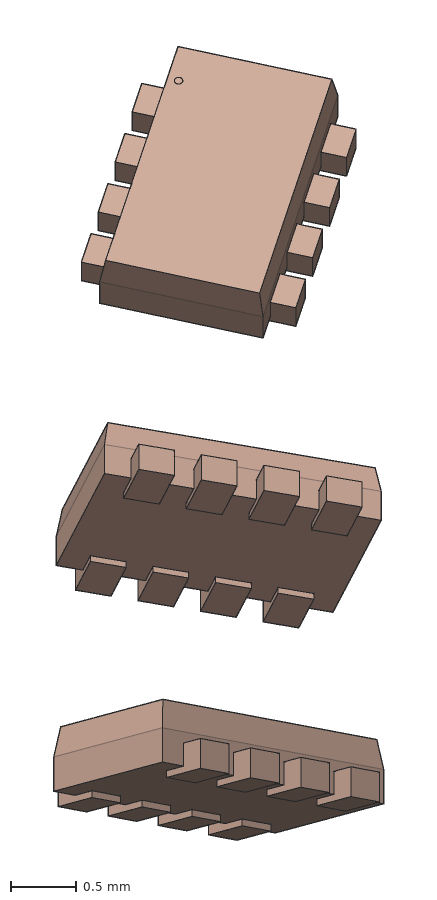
import cadquery as cq

overall_width = 1.7
overall_height = 0.56

housing_width = 1.295
housing_length = 2.21
housing_bottom = 0.053
taper_start = 0.323
taper_inset = 0.038

lead_length = 0.405
lead_width = 0.285
lead_height = 0.235
lead_pitch = 0.5
leads_per_side = 4

marker_diameter = 0.065
marker_depth = 0.01
marker_x = -0.52

first_lead_y = lead_pitch * (leads_per_side - 1) / 2
lead_center_x = (overall_width - lead_length) / 2


def make_lead(side, index):
    """One lead; side is -1 or +1 along X, index counts from the +Y end."""
    lead_y = first_lead_y - index * lead_pitch
    return (
        cq.Workplane("XY")
        .box(lead_length, lead_width, lead_height, centered=(True, True, False))
        .translate((side * lead_center_x, lead_y, 0))
    )


def make_marker():
    """Flush marker disc in the top face."""
    return (
        cq.Workplane("XY", origin=(marker_x, first_lead_y, overall_height - marker_depth))
        .circle(marker_diameter / 2)
        .extrude(marker_depth)
    )


def make_housing(inserts):
    """Moulded housing with a matching recess for every inserted body."""
    lower_block = (
        cq.Workplane("XY", origin=(0, 0, housing_bottom))
        .rect(housing_width, housing_length)
        .extrude(taper_start - housing_bottom)
    )
    tapered_top = (
        cq.Workplane("XY", origin=(0, 0, taper_start))
        .rect(housing_width, housing_length)
        .workplane(offset=overall_height - taper_start)
        .rect(housing_width - 2 * taper_inset, housing_length - 2 * taper_inset)
        .loft(ruled=True)
    )
    housing = lower_block.union(tapered_top)
    for insert in inserts:
        housing = housing.cut(insert)
    return housing.solids()


leads = [make_lead(side, index) for side in (-1, 1) for index in range(leads_per_side)]
marker = make_marker()
housing = make_housing([*leads, marker])

result = cq.Compound.makeCompound([housing.val(), marker.val(), *[lead.val() for lead in leads]])